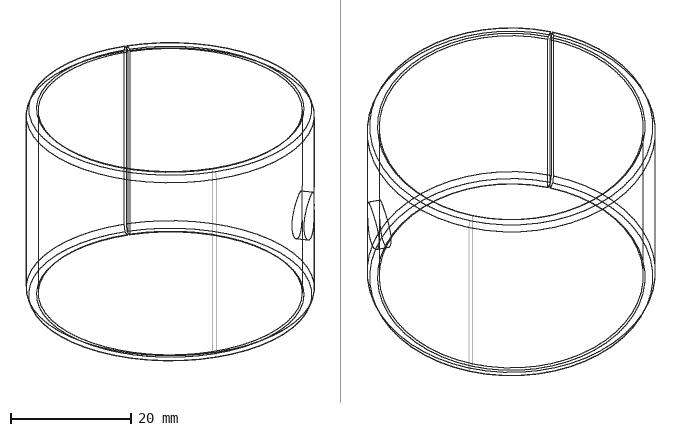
import cadquery as cq

outer_diameter = 48.0
wall = 2.0
length = 35.0
outer_radius = outer_diameter / 2
inner_radius = outer_radius - wall
half_length = length / 2

outer_bevel_height = 1.2
outer_bevel_depth = 0.45
inner_bevel = 0.3

split_width = 0.4
split_offset = split_width / 2

hole_diameter = 8.0
hole_angle = 59.0


def make_sleeve():
    """Revolve the bevelled wall section about Z."""
    wall_section = [
        (inner_radius, -half_length + inner_bevel),
        (inner_radius + inner_bevel, -half_length),
        (outer_radius - outer_bevel_depth, -half_length),
        (outer_radius, -half_length + outer_bevel_height),
        (outer_radius, half_length - outer_bevel_height),
        (outer_radius - outer_bevel_depth, half_length),
        (inner_radius + inner_bevel, half_length),
        (inner_radius, half_length - inner_bevel),
    ]
    return cq.Workplane("XZ").polyline(wall_section).close().revolve(360, (0, 0), (0, 1))


def make_split():
    """Slab reaching from the axis out through the -X wall."""
    slab = cq.Workplane("XY").box(outer_diameter, split_width, length)
    return slab.translate((-outer_radius, split_offset, 0))


def make_oil_hole():
    """Cylinder from the axis out through one side of the wall."""
    hole = cq.Workplane("YZ").circle(hole_diameter / 2).extrude(outer_diameter)
    return hole.rotate((0, 0, 0), (0, 0, 1), hole_angle)


result = make_sleeve().cut(make_split()).cut(make_oil_hole())